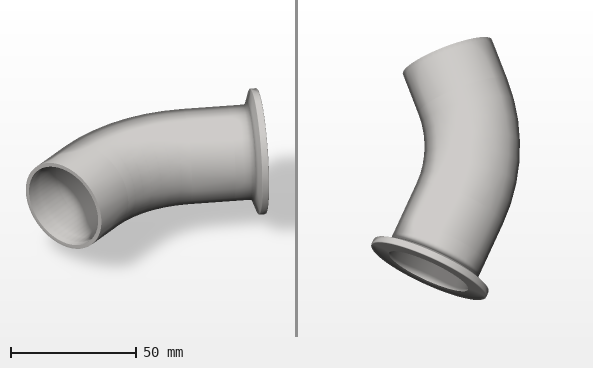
import cadquery as cq
import math

tube_diameter = 38.1
bore_diameter = 34.8
straight_length = 17.6
bend_radius = 57.2
bend_angle = 45

flange_diameter = 50.4
ferrule_length = 12.7
rim_thickness = 2.7
flange_back_angle = 20
neck_fillet = 1.3
rim_back_fillet = 0.4
rim_front_fillet = 0.4

selection_margin = 0.1

tube_radius = tube_diameter / 2
bore_radius = bore_diameter / 2
flange_radius = flange_diameter / 2

rim_start = ferrule_length - rim_thickness
cone_depth = (flange_radius - tube_radius) * math.tan(math.radians(flange_back_angle))
cone_start = rim_start - cone_depth

bend_start = (0, straight_length)
bend_turn = math.radians(bend_angle)


def along_bend(turn):
    """Point on the bend centre line after turning through the given angle in radians."""
    x = bend_radius * (1 - math.cos(turn))
    y = straight_length + bend_radius * math.sin(turn)
    return (x, y)


bend_end = along_bend(bend_turn)
outlet_direction = (math.sin(bend_turn), math.cos(bend_turn))


def along_outlet(distance):
    """Point on the outlet axis at the given distance beyond the bend."""
    return tuple(p + distance * d for p, d in zip(bend_end, outlet_direction))


def make_tube():
    """Hollow tube swept through the inlet straight, the bend and the outlet straight."""
    path = (
        cq.Workplane("XY")
        .lineTo(*bend_start)
        .threePointArc(along_bend(bend_turn / 2), bend_end)
        .lineTo(*along_outlet(straight_length))
    )
    return cq.Workplane("XZ").circle(tube_radius).circle(bore_radius).sweep(path)


def edge_at(radius, distance):
    """Selector for the circular edge of the given radius at a distance along +Y."""
    reach = radius + selection_margin
    return cq.selectors.BoxSelector(
        (-reach, distance - selection_margin, -reach),
        (reach, distance + selection_margin, reach),
        boundingbox=True,
    )


def make_ferrule():
    """Hollow clamp ferrule along +Y from the origin, with its flange at the far end."""
    ferrule = (
        cq.Workplane("XY")
        .moveTo(bore_radius, 0)
        .lineTo(tube_radius, 0)
        .lineTo(tube_radius, cone_start)
        .lineTo(flange_radius, rim_start)
        .lineTo(flange_radius, ferrule_length)
        .lineTo(bore_radius, ferrule_length)
        .close()
        .revolve(360, (0, 0, 0), (0, 1, 0))
    )

    ferrule = ferrule.edges(edge_at(tube_radius, cone_start)).fillet(neck_fillet)
    ferrule = ferrule.edges(edge_at(flange_radius, rim_start)).fillet(rim_back_fillet)
    outermost = cq.selectors.RadiusNthSelector(-1)
    return ferrule.faces(">Y").edges(outermost).fillet(rim_front_fillet)


tube = make_tube()
ferrule = (
    make_ferrule()
    .rotate((0, 0, 0), (0, 0, 1), -bend_angle)
    .translate((*along_outlet(straight_length), 0))
)

result = tube.union(ferrule, clean=False)